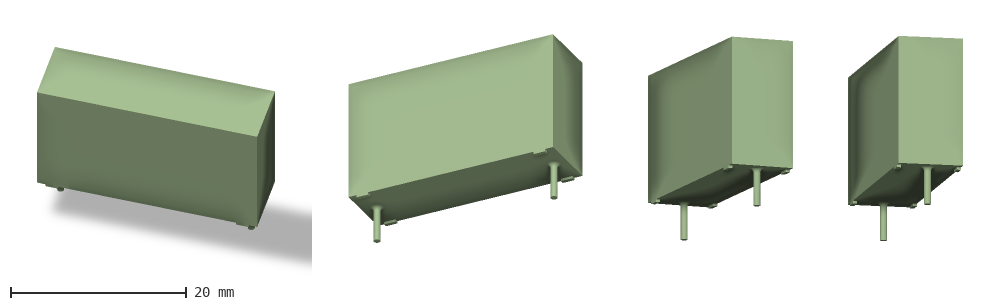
import cadquery as cq

length = 26.0
width = 7.5
total_height = 19.0

foot_height = 0.3
foot_length = 1.5
foot_width = 0.5

lead_pitch = 22.5
lead_diameter = 0.8
lead_protrusion = 4.0
lead_fillet_radius = 0.5

case_bottom = foot_height
case_height = total_height - lead_protrusion - foot_height
lead_length = lead_protrusion + foot_height


def make_case():
    """Plain rectangular block, centred on the Z axis."""
    return cq.Workplane("XY", origin=(0, 0, case_bottom)).rect(length, width).extrude(case_height)


def make_lead(x):
    """Round lead hanging from the underside of the case."""
    return cq.Workplane("XY", origin=(x, 0, case_bottom)).circle(lead_diameter / 2).extrude(-lead_length)


def make_foot(x, side):
    """Rectangular foot, flush with the long face on the given side (-1 or 1)."""
    y = side * (width - foot_width) / 2
    return cq.Workplane("XY", origin=(x, y, 0)).rect(foot_length, foot_width).extrude(foot_height)


lead_positions = (-lead_pitch / 2, lead_pitch / 2)

body = make_case()
for lead_x in lead_positions:
    body = body.union(make_lead(lead_x))
body = body.faces("<Z[-2]").edges("%CIRCLE").fillet(lead_fillet_radius)

for lead_x in lead_positions:
    for side in (-1, 1):
        body = body.union(make_foot(lead_x, side))

result = body